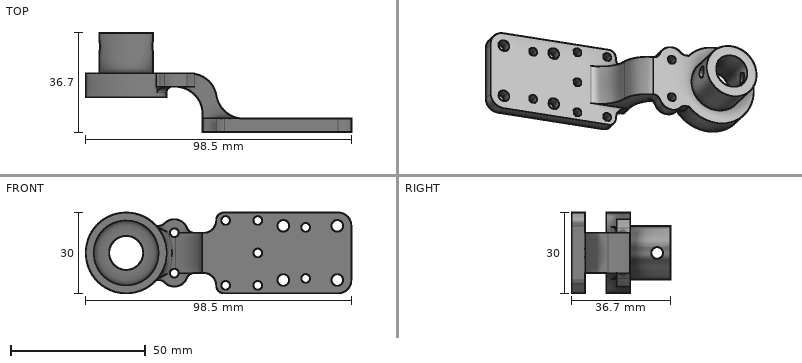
import cadquery as cq
import math


total_length = 98.5
width = 30.0
half_width = width / 2
sheet = 5.0
step = 16.7

flange_radius = half_width
flange_thickness = 9.0
tube_diameter = 20.0
tube_length = 15.0
bore_diameter = 12.5
recess_diameter = 24.0
recess_depth = 6.0
cross_hole_diameter = 4.2
cross_hole_from_end = 5.0

arm_half_width = 7.5
inner_bend_radius = 10.0
inner_bend_start = 18.2
outer_bend_radius = 10.0
outer_bend_mid_x = 33.5

lug_x = 17.8
lug_z = arm_half_width
lug_radius = 5.0
lug_arm_fillet = 3.0
lug_hub_fillet = 2.5
lug_web_half_width = 10.1

hub_fillet = 2.0
hub_fillet_end_inner = (10.0, 10.4)
hub_fillet_end_outer = (16.7, 6.9)

neck_fillet = 4.5
shoulder_x = 33.3
shoulder_corner = half_width - arm_half_width - neck_fillet
end_corner = 5.0
small_hole = 3.2
large_hole = 4.2
first_column_x = 36.8
second_column_x = 48.8
small_hole_z = 12.0
large_columns_x = (58.2, 78.2)
large_hole_z = 10.0
third_column_x = 66.5
third_column_z = 9.5

lug_back = sheet + step
lug_front = lug_back - sheet
flange_front = lug_back - flange_thickness
tube_end = lug_back + tube_length
plate_start = inner_bend_start + inner_bend_radius
plate_end = total_length - flange_radius


def front_plane(y):
    return cq.Workplane("XZ", origin=(0, y, 0))


def cylinder(diameter, y_start, y_end):
    return front_plane(y_start).circle(diameter / 2).extrude(y_start - y_end)


def arc_middle(center, radius, degrees):
    angle = math.radians(degrees)
    return (center[0] + radius * math.cos(angle), center[1] + radius * math.sin(angle))


def make_plate():
    """Mounting plate, narrowing to the width of the arm."""
    neck_x = shoulder_x - neck_fillet
    shoulder_z = arm_half_width + neck_fillet
    neck_middle = arc_middle((neck_x, shoulder_z), neck_fillet, -45)
    corner_x = shoulder_x + shoulder_corner
    corner_middle = arc_middle((corner_x, shoulder_z), shoulder_corner, 135)
    end_x = plate_end - end_corner
    end_z = half_width - end_corner
    end_middle = arc_middle((end_x, end_z), end_corner, 45)
    return (
        front_plane(0)
        .moveTo(plate_start, 0)
        .lineTo(plate_start, arm_half_width)
        .lineTo(neck_x, arm_half_width)
        .threePointArc(neck_middle, (shoulder_x, shoulder_z))
        .threePointArc(corner_middle, (corner_x, half_width))
        .lineTo(end_x, half_width)
        .threePointArc(end_middle, (plate_end, end_z))
        .lineTo(plate_end, 0)
        .mirrorX()
        .extrude(-sheet)
    )


def make_arm():
    """S-shaped arm from the hub to the plate, extruded across its width."""
    bend_center = (inner_bend_start, lug_front - inner_bend_radius)
    inner_middle = arc_middle(bend_center, inner_bend_radius, 45)
    sweep = math.degrees(math.acos(1 - step / 2 / outer_bend_radius))
    half_run = outer_bend_radius * math.sin(math.radians(sweep))
    crest_center = (outer_bend_mid_x - half_run, lug_back - outer_bend_radius)
    foot_center = (outer_bend_mid_x + half_run, sheet + outer_bend_radius)
    crest_middle = arc_middle(crest_center, outer_bend_radius, 90 - sweep / 2)
    foot_middle = arc_middle(foot_center, outer_bend_radius, 270 - sweep / 2)
    mid_y = sheet + step / 2
    return (
        cq.Workplane("XY")
        .moveTo(0, lug_front)
        .lineTo(inner_bend_start, lug_front)
        .threePointArc(inner_middle, (plate_start, bend_center[1]))
        .lineTo(plate_start, 0)
        .lineTo(foot_center[0], 0)
        .lineTo(foot_center[0], sheet)
        .threePointArc(foot_middle, (outer_bend_mid_x, mid_y))
        .threePointArc(crest_middle, (crest_center[0], lug_back))
        .lineTo(0, lug_back)
        .close()
        .extrude(arm_half_width, both=True)
    )


def make_lugs():
    """Strip with a rounded lug on each side, blended into the arm and the hub web."""
    arm_reach = lug_radius + lug_arm_fillet
    arm_dx = math.sqrt(arm_reach**2 - lug_arm_fillet**2)
    arm_center = (lug_x + arm_dx, lug_z + lug_arm_fillet)
    arm_angle = math.degrees(math.atan2(lug_arm_fillet, arm_dx))
    arm_tangent = arc_middle((lug_x, lug_z), lug_radius, arm_angle)
    arm_middle = arc_middle(arm_center, lug_arm_fillet, (180 + arm_angle + 270) / 2)

    hub_reach = lug_radius + lug_hub_fillet
    hub_dz = lug_web_half_width + lug_hub_fillet - lug_z
    hub_dx = math.sqrt(hub_reach**2 - hub_dz**2)
    hub_center = (lug_x - hub_dx, lug_z + hub_dz)
    hub_angle = math.degrees(math.atan2(hub_dz, -hub_dx))
    hub_tangent = arc_middle((lug_x, lug_z), lug_radius, hub_angle)
    hub_middle = arc_middle(hub_center, lug_hub_fillet, (hub_angle - 180 - 90) / 2)

    return (
        front_plane(lug_front)
        .moveTo(0, 0)
        .lineTo(0, lug_web_half_width)
        .lineTo(hub_center[0], lug_web_half_width)
        .threePointArc(hub_middle, hub_tangent)
        .threePointArc((lug_x, lug_z + lug_radius), arm_tangent)
        .threePointArc(arm_middle, (arm_center[0], arm_half_width))
        .lineTo(arm_center[0], 0)
        .mirrorX()
        .extrude(-sheet)
    )


def make_hub_fillet():
    """Concave fillet where the flange meets the front of the lug strip."""
    outer = flange_radius + hub_fillet
    bottom = lug_front - hub_fillet
    core = tube_diameter / 2
    ring = (
        cq.Workplane("XY")
        .moveTo(core, bottom)
        .lineTo(flange_radius, bottom)
        .threePointArc(arc_middle((outer, bottom), hub_fillet, 135), (outer, lug_front))
        .lineTo(outer, lug_back)
        .lineTo(core, lug_back)
        .close()
        .revolve(360, (0, 0), (0, 1))
    )
    sector = (
        front_plane(bottom)
        .moveTo(hub_fillet_end_inner[0], 0)
        .lineTo(*hub_fillet_end_inner)
        .lineTo(*hub_fillet_end_outer)
        .lineTo(outer, 0)
        .mirrorX()
        .extrude(bottom - lug_back)
    )
    return ring.intersect(sector)


def hole_group(diameter, columns, z):
    """Through-hole tools in mirrored pairs, one pair per column."""
    points = [(x, side * z) for x in columns for side in (-1, 1)]
    return front_plane(0).pushPoints(points).circle(diameter / 2).extrude(-tube_end)


body = (
    cylinder(2 * flange_radius, flange_front, lug_back)
    .union(cylinder(tube_diameter, lug_back, tube_end))
    .union(make_lugs())
    .union(make_arm())
    .union(make_plate())
    .union(make_hub_fillet())
)

cross_hole = (
    cq.Workplane("YZ", origin=(0, tube_end - cross_hole_from_end, 0))
    .circle(cross_hole_diameter / 2)
    .extrude(tube_diameter, both=True)
)
body = (
    body.cut(cylinder(bore_diameter, flange_front, tube_end))
    .cut(cylinder(recess_diameter, flange_front, flange_front + recess_depth))
    .cut(cross_hole)
)

center_hole = front_plane(0).center(second_column_x, 0).circle(small_hole / 2).extrude(-sheet)
result = (
    body.cut(hole_group(small_hole, (lug_x,), lug_z))
    .cut(hole_group(small_hole, (first_column_x, second_column_x), small_hole_z))
    .cut(hole_group(large_hole, large_columns_x, large_hole_z))
    .cut(hole_group(small_hole, (third_column_x,), third_column_z))
    .cut(center_hole)
)